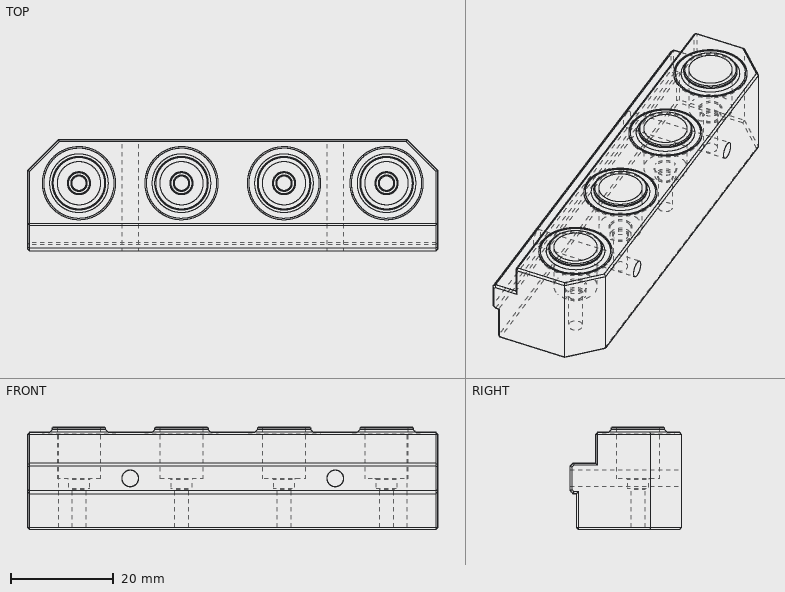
import cadquery as cq

LENGTH = 80.0
DEPTH = 21.75
BODY_TOP = 19.0
LOWER_FRONT = 1.25
UPPER_FRONT = 5.0
FLANGE_BOTTOM = 7.0
FLANGE_TOP = 13.0
CORNER_CUT = 6.0
EDGE_CHAMFER = 0.4
FLANGE_CHAMFER = 0.6

CROSS_HOLE_DIAMETER = 3.2
CROSS_HOLE_SPACING = 40.0
CROSS_HOLE_HEIGHT = (FLANGE_BOTTOM + FLANGE_TOP) / 2

SOCKET_COUNT = 4
SOCKET_PITCH = 20.0
SOCKET_TO_REAR = 8.5
SOCKET_Y = DEPTH - SOCKET_TO_REAR

GROOVE_DIAMETER = 14.3
GROOVE_DEPTH = 0.3

COLLAR_TOP = 20.0
COLLAR_BASE_DIAMETER = 11.45
COLLAR_DIAMETER = 10.45
COLLAR_CONE_TOP = BODY_TOP + (COLLAR_BASE_DIAMETER - COLLAR_DIAMETER) / 2
RIM_CHAMFER = 0.2

BORE_DIAMETER = 8.45
BORE_DEPTH = 10.0
SEAT_DIAMETER = 4.1
SEAT_DEPTH = 2.0
SEAT_CHAMFER = 0.2
OUTLET_DIAMETER = 2.8
OUTLET_CHAMFER = 0.2


def make_body():
    """Stepped bar with cut rear corners and chamfered outer edges."""
    profile = [
        (LOWER_FRONT, 0),
        (DEPTH, 0),
        (DEPTH, BODY_TOP),
        (UPPER_FRONT, BODY_TOP),
        (UPPER_FRONT, FLANGE_TOP),
        (0, FLANGE_TOP),
        (0, FLANGE_BOTTOM),
        (LOWER_FRONT, FLANGE_BOTTOM),
    ]
    bar = cq.Workplane("YZ").polyline(profile).close().extrude(LENGTH / 2, both=True)
    bar = bar.edges("|Z and >Y").chamfer(CORNER_CUT)
    bar = bar.faces("<Y").edges("|X").chamfer(FLANGE_CHAMFER)
    top_and_bottom = bar.faces("<Z or >Z").edges()
    ends = bar.faces("<X or >X").edges("not >Y")
    return bar.newObject(top_and_bottom.vals() + ends.vals()).chamfer(EDGE_CHAMFER)


def revolve_profile(points):
    """Solid of revolution about Z from (diameter, height) points."""
    outline = [(diameter / 2, height) for diameter, height in points]
    return cq.Workplane("XZ").polyline(outline).close().revolve(360, (0, 0), (0, 1))


def make_collar():
    """Raised collar standing on the top face, before boring."""
    return revolve_profile([
        (0, BODY_TOP),
        (COLLAR_BASE_DIAMETER, BODY_TOP),
        (COLLAR_DIAMETER, COLLAR_CONE_TOP),
        (COLLAR_DIAMETER, COLLAR_TOP - RIM_CHAMFER),
        (COLLAR_DIAMETER - 2 * RIM_CHAMFER, COLLAR_TOP),
        (0, COLLAR_TOP),
    ])


def make_groove():
    """Cutter for the ring groove with a triangular section."""
    return revolve_profile([
        (GROOVE_DIAMETER - 2 * GROOVE_DEPTH, BODY_TOP),
        (GROOVE_DIAMETER, BODY_TOP - GROOVE_DEPTH),
        (GROOVE_DIAMETER, BODY_TOP),
    ])


def make_bore():
    """Cutter for the bore, its chamfered seat and the outlet through the bottom."""
    bore_floor = COLLAR_TOP - BORE_DEPTH
    seat_floor = bore_floor - SEAT_DEPTH
    return revolve_profile([
        (0, 0),
        (OUTLET_DIAMETER, 0),
        (OUTLET_DIAMETER, seat_floor - OUTLET_CHAMFER),
        (OUTLET_DIAMETER + 2 * OUTLET_CHAMFER, seat_floor),
        (SEAT_DIAMETER, seat_floor),
        (SEAT_DIAMETER, bore_floor - SEAT_CHAMFER),
        (SEAT_DIAMETER + 2 * SEAT_CHAMFER, bore_floor),
        (BORE_DIAMETER, bore_floor),
        (BORE_DIAMETER, COLLAR_TOP),
        (0, COLLAR_TOP),
    ])


def add_sockets(body):
    """Row of collars, grooves and bores centred on the length."""
    collar = make_collar()
    groove = make_groove()
    bore = make_bore()
    for index in range(SOCKET_COUNT):
        x = (index - (SOCKET_COUNT - 1) / 2) * SOCKET_PITCH
        place = (x, SOCKET_Y, 0)
        body = body.union(collar.translate(place))
        body = body.cut(groove.translate(place))
        body = body.cut(bore.translate(place))
    return body


def cut_cross_holes(body):
    """Two through holes between the sockets, centred on the flange height."""
    for x in (-CROSS_HOLE_SPACING / 2, CROSS_HOLE_SPACING / 2):
        hole = cq.Workplane("XZ", origin=(x, 0, CROSS_HOLE_HEIGHT))
        body = body.cut(hole.circle(CROSS_HOLE_DIAMETER / 2).extrude(-DEPTH))
    return body


result = cut_cross_holes(add_sockets(make_body()))